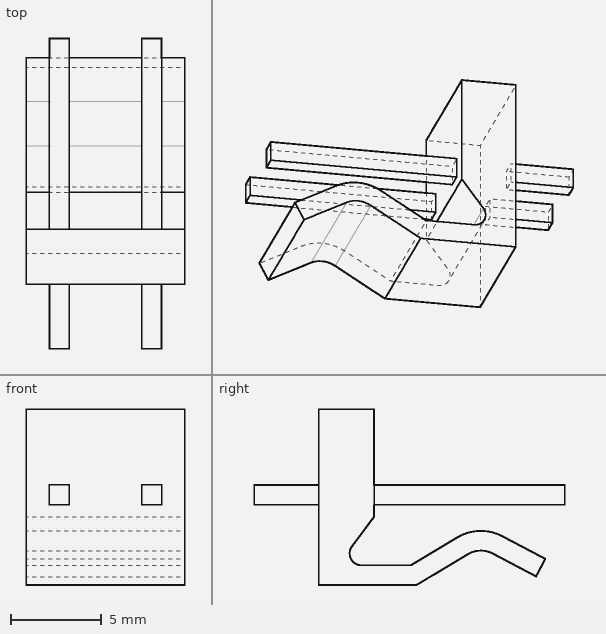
import cadquery as cq
import math


body_width = 8.74
body_height = 9.7
wall_thickness = 3.05
arm_thickness = 1.1

undercut_top = 3.76
undercut_corner_y = 1.06
undercut_radius = 0.65

crown_y = 8.93
crown_height = 3.0
crown_radius = 2.5
climb_angle = math.radians(31)
tip_angle = math.radians(27.8)
tip_length = 2.7

pin_size = 1.1
pin_pitch = 5.08
pin_height = 4.97
pin_length = 17.1
pin_front_length = 3.55


def crown_point(radius, angle):
    """Point on a circle about the crown centre; the angle leans from +Z toward +Y."""
    y = crown_y + radius * math.sin(angle)
    z = crown_height - crown_radius + radius * math.cos(angle)
    return y, z


def tip_point(radius):
    """End of the straight tip that leaves the crown circle tangentially."""
    y, z = crown_point(radius, tip_angle)
    return y + tip_length * math.cos(tip_angle), z - tip_length * math.sin(tip_angle)


def climb_point(radius, height):
    """Point at the given height on the climbing line tangent to the crown circle."""
    y, z = crown_point(radius, -climb_angle)
    return y - (z - height) / math.tan(climb_angle), height


def make_housing():
    inner_radius = crown_radius - arm_thickness

    slope_run = wall_thickness - undercut_corner_y
    slope_rise = undercut_top - arm_thickness
    corner_angle = math.atan2(slope_rise, slope_run)
    tangent_length = undercut_radius / math.tan(corner_angle / 2)
    round_on_arm = (undercut_corner_y + tangent_length, arm_thickness)
    round_on_slope = (
        undercut_corner_y + tangent_length * math.cos(corner_angle),
        arm_thickness + tangent_length * math.sin(corner_angle),
    )
    center_distance = undercut_radius / math.sin(corner_angle / 2)
    middle_distance = center_distance - undercut_radius
    round_middle = (
        undercut_corner_y + middle_distance * math.cos(corner_angle / 2),
        arm_thickness + middle_distance * math.sin(corner_angle / 2),
    )

    profile = (
        cq.Workplane("YZ")
        .moveTo(0, 0)
        .lineTo(*climb_point(inner_radius, 0))
        .lineTo(*crown_point(inner_radius, -climb_angle))
        .threePointArc(crown_point(inner_radius, 0), crown_point(inner_radius, tip_angle))
        .lineTo(*tip_point(inner_radius))
        .lineTo(*tip_point(crown_radius))
        .lineTo(*crown_point(crown_radius, tip_angle))
        .threePointArc(crown_point(crown_radius, 0), crown_point(crown_radius, -climb_angle))
        .lineTo(*climb_point(crown_radius, arm_thickness))
        .lineTo(*round_on_arm)
        .threePointArc(round_middle, round_on_slope)
        .lineTo(wall_thickness, undercut_top)
        .lineTo(wall_thickness, body_height)
        .lineTo(0, body_height)
        .close()
    )
    return profile.extrude(body_width / 2, both=True)


def make_pin(x):
    pin = cq.Workplane("XY").box(pin_size, pin_length, pin_size)
    return pin.translate((x, pin_length / 2 - pin_front_length, pin_height))


result = make_housing()
for side in (-1, 1):
    result = result.union(make_pin(side * pin_pitch / 2))